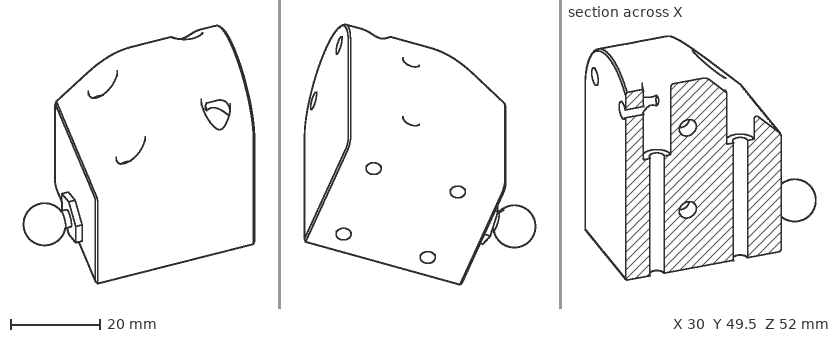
import cadquery as cq
import math

width = 30.0
depth = 37.5
overall_depth = 49.45
height = 52.0
dome_radius = width / 2
dome_center_z = height - dome_radius
slope_size = 22.0
corner_radius = 2.1
rim_chamfer = 0.4
slope_fillet = 1.0

screw_pitch = 20.0
screw_center_y = 19.8
screw_diameter = 3.4
counterbore_diameter = 6.5
counterbore_floor_z = 30.0
counterbore_fillet = 0.55

side_hole_y = 22.45
side_hole_heights = (15.1, 36.0)
back_hole_x = 8.5
back_hole_z = 42.5
blind_hole_diameter = 4.0
blind_hole_depth = 8.85
side_hole_fillet = 0.6
drill_tip_angle = 118.0

selection_margin = 0.5

stud_z = 6.45
hex_across_flats = 10.0
hex_thickness = 1.5
neck_diameter = 4.0
ball_diameter = 9.5
ball_center_y = -(overall_depth - depth - ball_diameter / 2)


def make_block():
    """Domed block with a sloping front and its outer edges eased."""
    half = width / 2
    block = (
        cq.Workplane("XZ")
        .moveTo(half, 0)
        .lineTo(half, dome_center_z)
        .threePointArc((0, height), (-half, dome_center_z))
        .lineTo(-half, corner_radius)
        .radiusArc((-half + corner_radius, 0), -corner_radius)
        .close()
        .extrude(-depth)
    )
    slope = (
        cq.Workplane("YZ")
        .moveTo(0, height - slope_size)
        .lineTo(slope_size, height)
        .lineTo(0, height)
        .close()
        .extrude(half, both=True)
    )
    block = block.cut(slope)
    slope_normal = cq.Vector(0, -1, 1)
    slope_face = block.faces(cq.selectors.ParallelDirSelector(slope_normal))
    block = slope_face.edges("not <Y").fillet(slope_fillet)
    return block.faces("<Y or >Y").chamfer(rim_chamfer)


def cut_screw_holes(block):
    """Cut four counterbored holes down through the block and round their mouths."""
    centers = [
        (x_sign * screw_pitch / 2, screw_center_y + y_sign * screw_pitch / 2)
        for x_sign in (-1, 1)
        for y_sign in (-1, 1)
    ]
    radius = counterbore_diameter / 2
    reach = radius + selection_margin
    for x, y in centers:
        through = cq.Workplane("XY").center(x, y).circle(screw_diameter / 2).extrude(height)
        counterbore = (
            cq.Workplane("XY", origin=(x, y, counterbore_floor_z))
            .circle(radius)
            .extrude(height - counterbore_floor_z)
        )
        block = block.cut(through.union(counterbore))
        wall = block.faces(
            cq.selectors.BoxSelector(
                (x - reach, y - reach, counterbore_floor_z - selection_margin),
                (x + reach, y + reach, height),
                boundingbox=True,
            )
        ).faces("%CYLINDER")
        block = wall.edges(">Z").fillet(counterbore_fillet)
    return block


def make_drill():
    """Cone-tipped drill along +X with its flat end at the origin."""
    radius = blind_hole_diameter / 2
    tip_length = radius / math.tan(math.radians(drill_tip_angle / 2))
    profile = (
        cq.Workplane("XY")
        .lineTo(0, radius)
        .lineTo(blind_hole_depth, radius)
        .lineTo(blind_hole_depth + tip_length, 0)
        .close()
    )
    return profile.revolve(360, (0, 0, 0), (1, 0, 0))


def cut_side_holes(block):
    """Drill the two blind holes in the -X side and round their mouths."""
    reach = blind_hole_diameter / 2 + selection_margin
    for z in side_hole_heights:
        block = block.cut(make_drill().translate((-width / 2, side_hole_y, z)))
        mouth = cq.selectors.BoxSelector(
            (-width / 2 - selection_margin, side_hole_y - reach, z - reach),
            (-width / 2 + selection_margin, side_hole_y + reach, z + reach),
            boundingbox=True,
        )
        block = block.edges(mouth).fillet(side_hole_fillet)
    return block


def cut_back_holes(block):
    """Drill two blind holes in the back face that break into the rear counterbores."""
    drill = make_drill().rotate((0, 0, 0), (0, 0, 1), -90)
    for x in (-back_hole_x, back_hole_x):
        block = block.cut(drill.translate((x, depth, back_hole_z)))
    return block


def make_ball_stud():
    """Hexagonal base, neck and ball along -Y, seated on the front face."""
    base = (
        cq.Workplane("XZ", origin=(0, 0, stud_z))
        .polygon(6, hex_across_flats, circumscribed=True)
        .extrude(hex_thickness)
    )
    neck = cq.Workplane("XZ", origin=(0, 0, stud_z)).circle(neck_diameter / 2).extrude(-ball_center_y)
    ball = cq.Workplane("XY", origin=(0, ball_center_y, stud_z)).sphere(ball_diameter / 2)
    return base.union(neck).union(ball)


housing = cut_back_holes(cut_side_holes(cut_screw_holes(make_block())))
ball_stud = make_ball_stud()

result = cq.Compound.makeCompound([housing.val(), ball_stud.val()])